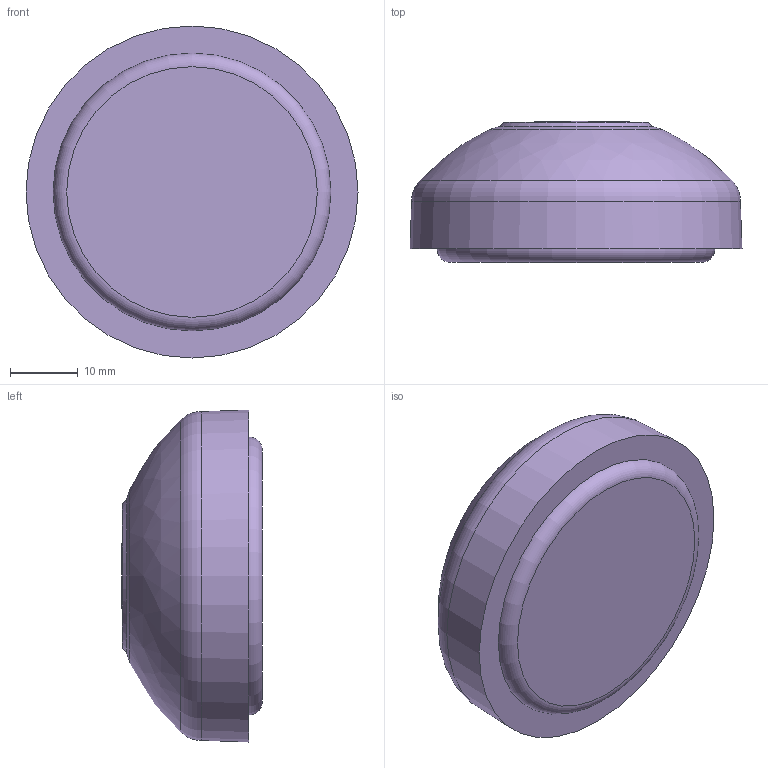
import cadquery as cq
import math

plug_radius = 20.5
plug_depth = 2.0

rim_radius = 24.5
rim_height = 7.0
rim_draft = 2.0

shoulder_radius = 23.0
shoulder_height = 10.1
shoulder_round = 4.2

dome_top_radius = 12.8
dome_top_height = 17.6
dome_sagitta = 0.63

button_base_radius = 11.3
button_base_height = 18.05
button_top_radius = 10.7
button_edge_height = 18.65
crown_rise = 0.15
crown_height = button_edge_height + crown_rise

rim_top_radius = rim_radius - rim_height * math.tan(math.radians(rim_draft))


def bulged_midpoint(start, end, sagitta):
    """Middle point of an arc that bulges outward from the chord start-end."""
    run = end[0] - start[0]
    rise = end[1] - start[1]
    chord = math.hypot(run, rise)
    return (
        (start[0] + end[0]) / 2 + sagitta * rise / chord,
        (start[1] + end[1]) / 2 - sagitta * run / chord,
    )


def half_profile():
    """Closed half section in (radius, height along Y)."""
    plug_flat_radius = plug_radius - plug_depth
    shoulder = (shoulder_radius, shoulder_height)
    dome_top = (dome_top_radius, dome_top_height)
    rim_top = (rim_top_radius, rim_height)
    crown_radius = (button_top_radius**2 + crown_rise**2) / (2 * crown_rise)
    return (
        cq.Workplane("XY")
        .moveTo(0, -plug_depth)
        .lineTo(plug_flat_radius, -plug_depth)
        .radiusArc((plug_radius, 0), -plug_depth)
        .lineTo(rim_radius, 0)
        .lineTo(*rim_top)
        .radiusArc(shoulder, -shoulder_round)
        .threePointArc(bulged_midpoint(shoulder, dome_top, dome_sagitta), dome_top)
        .lineTo(button_base_radius, button_base_height)
        .lineTo(button_top_radius, button_edge_height)
        .radiusArc((0, crown_height), -crown_radius)
        .close()
    )


full_turn = 360
result = half_profile().revolve(full_turn, (0, 0, 0), (0, 1, 0))